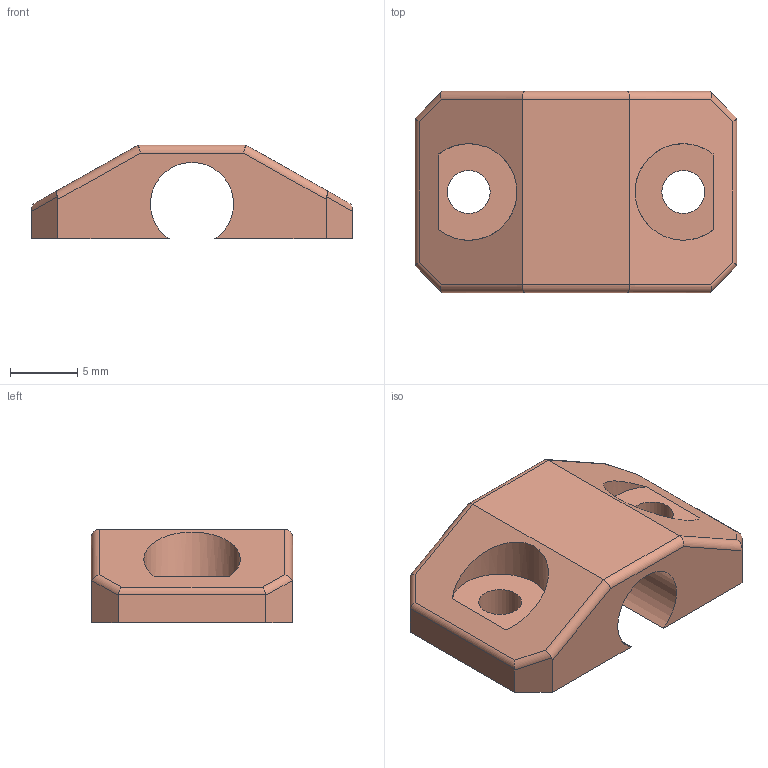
import cadquery as cq

LENGTH = 24.0
WIDTH = 15.0
HEIGHT = 7.0
CORNER_CHAMFER = 2.0

TOP_FLAT_LENGTH = 8.0
END_HEIGHT = 2.5
RIM_FILLET = 0.6

CHANNEL_DIAMETER = 6.2
CHANNEL_CENTER_Z = 2.6

SCREW_SPACING = 16.0
SCREW_DIAMETER = 3.2
COUNTERBORE_DIAMETER = 7.2
COUNTERBORE_FLOOR_Z = 3.5


def is_rim_edge(edge):
    """True for the edges where the roof meets the side walls."""
    start = edge.startPoint()
    end = edge.endPoint()
    on_roof = min(start.z, end.z) > END_HEIGHT / 2
    is_ridge = abs(start.y - end.y) > WIDTH / 2 and edge.Center().z > END_HEIGHT + RIM_FILLET
    return on_roof and not is_ridge


def make_body():
    """Roof-shaped block with cut vertical corners and a rounded upper rim."""
    half_length = LENGTH / 2
    half_flat = TOP_FLAT_LENGTH / 2
    profile = [
        (-half_length, 0),
        (half_length, 0),
        (half_length, END_HEIGHT),
        (half_flat, HEIGHT),
        (-half_flat, HEIGHT),
        (-half_length, END_HEIGHT),
    ]
    roof = cq.Workplane("XZ").polyline(profile).close().extrude(WIDTH / 2, both=True)
    footprint = (
        cq.Workplane("XY")
        .rect(LENGTH, WIDTH)
        .extrude(HEIGHT)
        .edges("|Z")
        .chamfer(CORNER_CHAMFER)
    )
    return roof.intersect(footprint).edges().filter(is_rim_edge).fillet(RIM_FILLET)


def make_channel():
    """Cylinder that clears the channel over the full width."""
    return (
        cq.Workplane("XZ")
        .center(0, CHANNEL_CENTER_Z)
        .circle(CHANNEL_DIAMETER / 2)
        .extrude(WIDTH, both=True)
    )


def make_screw_hole(x):
    """Through hole and the wider counterbore above it."""
    hole = cq.Workplane("XY").center(x, 0).circle(SCREW_DIAMETER / 2).extrude(HEIGHT)
    counterbore = (
        cq.Workplane("XY", origin=(x, 0, COUNTERBORE_FLOOR_Z))
        .circle(COUNTERBORE_DIAMETER / 2)
        .extrude(HEIGHT)
    )
    return hole.union(counterbore)


result = make_body().cut(make_channel())
for side in (-1, 1):
    result = result.cut(make_screw_hole(side * SCREW_SPACING / 2))